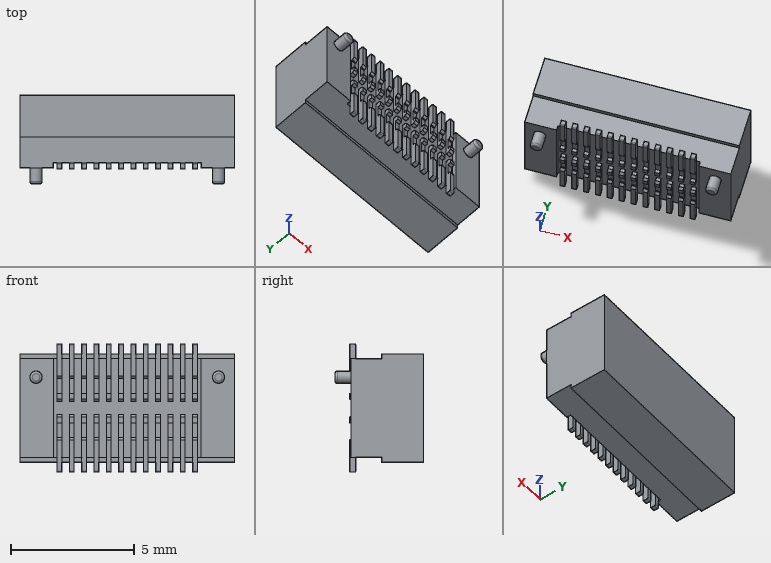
import cadquery as cq

length = 8.7
overall_depth = 3.6
peg_length = 0.65
board_face_y = -overall_depth / 2 + peg_length
mating_face_y = overall_depth / 2
rear_height = 4.4
rear_depth = 1.7
front_height = 4.0

channel_length = 6.0
channel_depth = 0.2
channel_floor_y = board_face_y + channel_depth

contacts_per_row = 12
pitch = 0.5
contact_width = 0.2
contact_thickness = 0.25
web_thickness = 0.1
contact_outer_y = channel_floor_y - contact_thickness
web_y = channel_floor_y - web_thickness
tail_tip_z = 2.6
tail_inner_z = 1.2
pad_outer_z = 0.6
pad_inner_z = 0.27
contact_chamfer = 0.1
tip_radius = 0.05

peg_diameter = 0.5
peg_spacing = 7.4
peg_z = 1.25
peg_tip_radius = 0.1


def block(x_size, y_start, y_end, z_size):
    """Box centred on X and Z, spanning y_start to y_end."""
    center_y = (y_start + y_end) / 2
    return cq.Workplane("XY").box(x_size, y_end - y_start, z_size).translate((0, center_y, 0))


def make_housing():
    """Stepped housing with the contact channel cut across its board face."""
    step_y = mating_face_y - rear_depth
    rear = block(length, step_y, mating_face_y, rear_height)
    front = block(length, board_face_y, step_y, front_height)
    channel = block(channel_length, board_face_y, channel_floor_y, front_height)
    return rear.union(front).cut(channel)


def make_contact(x):
    """Upper-row contact: inner pad, low web and a tail with a rounded tip."""
    profile = (
        cq.Workplane("YZ")
        .moveTo(channel_floor_y, pad_inner_z)
        .lineTo(contact_outer_y + contact_chamfer, pad_inner_z)
        .lineTo(contact_outer_y, pad_inner_z + contact_chamfer)
        .lineTo(contact_outer_y, pad_outer_z)
        .lineTo(web_y, pad_outer_z)
        .lineTo(web_y, tail_inner_z)
        .lineTo(contact_outer_y + contact_chamfer, tail_inner_z)
        .lineTo(contact_outer_y, tail_inner_z + contact_chamfer)
        .lineTo(contact_outer_y, tail_tip_z)
        .lineTo(channel_floor_y, tail_tip_z)
        .close()
    )
    contact = profile.extrude(contact_width / 2, both=True)
    return contact.faces(">Z").edges("|X").fillet(tip_radius).translate((x, 0, 0))


def make_peg(x):
    """Round locating peg with a rounded tip."""
    peg = (
        cq.Workplane("XZ", origin=(x, board_face_y, peg_z))
        .circle(peg_diameter / 2)
        .extrude(peg_length)
    )
    return peg.faces("<Y").edges().fillet(peg_tip_radius)


result = make_housing()

for index in range(contacts_per_row):
    contact_x = (index - (contacts_per_row - 1) / 2) * pitch
    upper_contact = make_contact(contact_x)
    result = result.union(upper_contact).union(upper_contact.mirror("XY"))

for side in (-1, 1):
    result = result.union(make_peg(side * peg_spacing / 2))